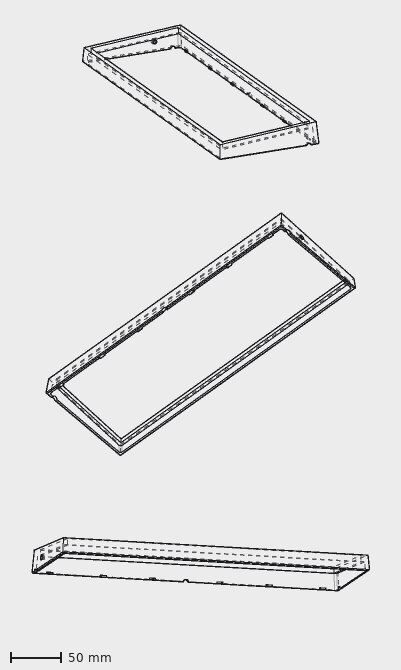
import cadquery as cq
import math

length = 317.8
depth = 109.3
back_height = 23.5

top_tilt = 4.2
back_lean = 5.5
front_lean = 4.5
side_lean = 4.5
foot_chamfer = 1.0

lip_width = 5.0
lip_height = 6.7
wall_thickness = 3.0
corner_radius = 2.2

notch_radius = 2.5
side_notch_y = 44.0

port_y = 23.5
port_z = 10.5
port_radius = 2.0
port_rim_radius = 3.0
port_sink_depth = 1.0

tab_distances = [35.0, 85.8, 141.5]
tab_length = 6.5
tab_reach = 1.0
tab_height = 1.5

tan_tilt = math.tan(math.radians(top_tilt))
tan_back = math.tan(math.radians(back_lean))
tan_front = math.tan(math.radians(front_lean))
tan_side = math.tan(math.radians(side_lean))


def back_face_y(z):
    return depth / 2 - (z - foot_chamfer) * tan_back


def front_face_y(z):
    return -depth / 2 + (z - foot_chamfer) * tan_front


def side_face_x(z):
    return length / 2 - (z - foot_chamfer) * tan_side


back_top_y = back_face_y(back_height)
top_run = (back_top_y - front_face_y(back_height)) / (1 - tan_front * tan_tilt)
top_mid_y = back_top_y - top_run / 2
top_mid_z = back_height - top_run / 2 * tan_tilt

opening_length = 2 * (side_face_x(back_height) - lip_width)
opening_depth = top_run / math.cos(math.radians(top_tilt)) - 2 * lip_width


def leaning_block(bottom_z, inset):
    """Block up to the back height whose sides follow the outer faces, moved inward by inset."""
    wires = []
    for z in (bottom_z, back_height):
        mid_y = (back_face_y(z) + front_face_y(z)) / 2
        section_length = 2 * (side_face_x(z) - inset)
        section_depth = back_face_y(z) - front_face_y(z) - 2 * inset
        section = cq.Workplane("XY", origin=(0, mid_y, z)).rect(section_length, section_depth)
        wires.append(section.wires().val())
    return cq.Workplane(cq.Solid.makeLoft(wires, True))


def top_plane(drop=0.0):
    """Workplane on the sloping top, lowered square to it by drop."""
    tilt = math.radians(top_tilt)
    plane = cq.Plane(
        origin=(0, top_mid_y, top_mid_z),
        xDir=(1, 0, 0),
        normal=(0, -math.sin(tilt), math.cos(tilt)),
    )
    return cq.Workplane(plane).workplane(offset=-drop)


def space_above(drop):
    """Everything higher than the sloping top lowered by drop."""
    return top_plane(drop).rect(2 * length, 2 * depth).extrude(2 * back_height)


def outer_wedge():
    """Solid wedge with leaning sides, a sloping top and a bevelled foot."""
    foot = (
        cq.Workplane("XY")
        .rect(length - 2 * foot_chamfer, depth - 2 * foot_chamfer)
        .workplane(offset=foot_chamfer)
        .rect(length, depth)
        .loft()
    )
    return foot.union(leaning_block(foot_chamfer, 0)).cut(space_above(0))


def lip_opening():
    """Window cut square to the sloping top."""
    return top_plane().rect(opening_length, opening_depth).extrude(-2 * back_height)


def lower_cavity():
    """Wider pocket from below, parallel to the outer faces and ending under the lip."""
    pocket = leaning_block(0, wall_thickness).edges("not(#Z)").fillet(corner_radius)
    return pocket.cut(space_above(lip_height))


def cable_notches():
    """Half-round notches under both side walls and the back wall."""
    sides = (
        cq.Workplane("YZ")
        .center(side_notch_y, 0)
        .circle(notch_radius)
        .extrude(length, both=True)
    )
    back = cq.Workplane("XZ").circle(notch_radius).extrude(-depth)
    return sides.union(back)


def port():
    """Countersunk hole through the left wall, square to its outer face."""
    lean = math.radians(side_lean)
    plane = cq.Plane(
        origin=(-side_face_x(port_z), port_y, port_z),
        xDir=(0, 1, 0),
        normal=(math.cos(lean), 0, -math.sin(lean)),
    )
    hole = cq.Workplane(plane).circle(port_radius).extrude(2 * wall_thickness)
    sink = (
        cq.Workplane(plane)
        .circle(port_rim_radius)
        .workplane(offset=port_sink_depth)
        .circle(port_radius)
        .loft()
    )
    return hole.union(sink)


def back_tabs():
    """Small ledges inside the cavity, along the foot of the back wall."""
    wall_y = back_face_y(tab_height) - wall_thickness
    places = [(side * x, wall_y) for x in tab_distances for side in (-1, 1)]
    return (
        cq.Workplane("XY")
        .pushPoints(places)
        .rect(tab_length, 2 * tab_reach)
        .extrude(tab_height)
    )


frame = outer_wedge().cut(lip_opening()).cut(lower_cavity())
result = frame.union(back_tabs()).cut(cable_notches()).cut(port())